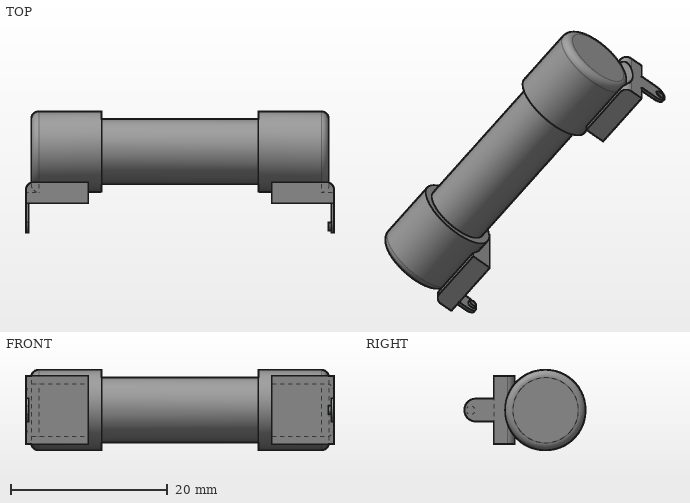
import cadquery as cq

overall_length = 39.35
overall_depth = 15.5
half_length = overall_length / 2

tube_radius = 4.17
cap_radius = 5.15
cap_end_x = 19.0
cap_inner_x = 10.0
cap_length = cap_end_x - cap_inner_x
cap_rounding = 1.0

block_length = 8.0
block_height = 8.7
block_back_y = -3.9
block_front_y = -6.6
block_rounding = 1.0

tab_thickness = 0.4
tab_width = 2.95
tab_tip_y = cap_radius - overall_depth
tab_arc_y = tab_tip_y + tab_width / 2

pin_diameter = 1.1
pin_height = 0.35
pin_y = tab_tip_y + 0.8


def x_cylinder(radius, start_x, length, center_y=0):
    """Cylinder parallel to X, growing toward +X from start_x."""
    plane = cq.Workplane("YZ", origin=(start_x, center_y, 0))
    return plane.circle(radius).extrude(length)


def make_cap():
    """Cap at the +X end with a rounded outer rim."""
    cap = x_cylinder(cap_radius, cap_inner_x, cap_length)
    return cap.faces(">X").edges().fillet(cap_rounding)


def make_block():
    """Terminal block at the +X end with its outer back corner rounded, hollowed to seat the cap."""
    block = cq.Workplane("XY").box(
        block_length,
        block_back_y - block_front_y,
        block_height,
    )
    block = block.translate((half_length - block_length / 2, (block_back_y + block_front_y) / 2, 0))
    block = block.edges("|Z and >X and >Y").fillet(block_rounding)
    cap_seat = x_cylinder(cap_radius, 0, half_length)
    return block.cut(cap_seat)


def make_tab():
    """Round-ended tab at the +X end, pointing toward -Y."""
    half_width = tab_width / 2
    return (
        cq.Workplane("YZ", origin=(half_length - tab_thickness, 0, 0))
        .moveTo(block_front_y, half_width)
        .lineTo(tab_arc_y, half_width)
        .threePointArc((tab_tip_y, 0), (tab_arc_y, -half_width))
        .lineTo(block_front_y, -half_width)
        .close()
        .extrude(tab_thickness)
    )


end_assembly = make_cap().union(make_block()).union(make_tab())
tube = x_cylinder(tube_radius, -cap_inner_x, 2 * cap_inner_x)
pin_radius = pin_diameter / 2
pin = x_cylinder(pin_radius, half_length - tab_thickness - pin_height, pin_height, pin_y)
tab_hole = x_cylinder(pin_radius, -half_length, tab_thickness, pin_y)

result = (
    tube.union(end_assembly)
    .union(end_assembly.mirror("YZ"))
    .union(pin)
    .cut(tab_hole)
)